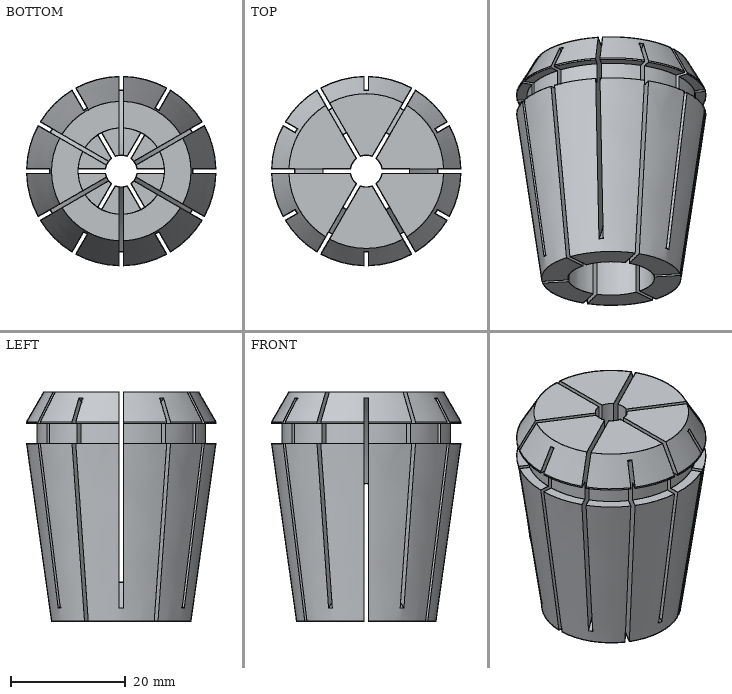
import cadquery as cq
import math

height = 40.0
outer_diameter = 33.0
outer_radius = outer_diameter / 2
taper_angle = 8.0
head_angle = 30.0

groove_bottom = 30.95
groove_top = 34.5
groove_diameter = 29.4
groove_radius = groove_diameter / 2
rim_top = 34.75

bore_radius = 2.75
relief_radius = 7.5
relief_depth = 20.0

slot_width = 0.75
slot_count = 6
cutter_radius = 30.0
top_slot_floor_radius = 0.05
top_slot_end = 2.3
bottom_slot_floor_radius = 1.1
bottom_slot_end = 38.9

taper_slope = math.tan(math.radians(taper_angle))
head_slope = math.tan(math.radians(head_angle))
bottom_radius = outer_radius - groove_bottom * taper_slope
head_radius = outer_radius - (height - rim_top) * head_slope
top_slot_end_radius = bottom_radius + top_slot_end * taper_slope
bottom_slot_end_radius = head_radius + (height - bottom_slot_end) * head_slope


def make_body():
    """Solid of revolution: lower cone, ring groove and head cone."""
    profile = [
        (0, 0),
        (bottom_radius, 0),
        (outer_radius, groove_bottom),
        (groove_radius, groove_bottom),
        (groove_radius, groove_top),
        (outer_radius, groove_top),
        (outer_radius, rim_top),
        (head_radius, height),
        (0, height),
    ]
    return cq.Workplane("XZ").polyline(profile).close().revolve(360, (0, 0), (0, 1))


def make_bore():
    """Small gripping bore at the top, opening into a wide relief below."""
    bore = cq.Workplane("XY").circle(bore_radius).extrude(height)
    relief = cq.Workplane("XY").circle(relief_radius).extrude(relief_depth)
    return bore.union(relief)


def make_slot(floor_radius, end_radius, end_z, open_z):
    """Radial slot along +X, open at open_z, whose floor curves out to (end_radius, end_z)."""
    toward_open = math.copysign(1, open_z - end_z)
    center_x = floor_radius + cutter_radius
    rise = math.sqrt(cutter_radius**2 - (center_x - end_radius) ** 2)
    center_z = end_z + toward_open * rise
    middle_angle = math.acos((center_x - end_radius) / cutter_radius) / 2
    middle = (
        center_x - cutter_radius * math.cos(middle_angle),
        center_z - toward_open * cutter_radius * math.sin(middle_angle),
    )
    return (
        cq.Workplane("XZ")
        .moveTo(floor_radius, open_z)
        .lineTo(floor_radius, center_z)
        .threePointArc(middle, (end_radius, end_z))
        .lineTo(center_x, end_z)
        .lineTo(center_x, open_z)
        .close()
        .extrude(slot_width / 2, both=True)
    )


top_slot = make_slot(top_slot_floor_radius, top_slot_end_radius, top_slot_end, height)
bottom_slot = make_slot(bottom_slot_floor_radius, bottom_slot_end_radius, bottom_slot_end, 0)

pitch = 360 / slot_count
result = make_body().cut(make_bore())
for i in range(slot_count):
    result = result.cut(top_slot.rotate((0, 0, 0), (0, 0, 1), i * pitch))
    result = result.cut(bottom_slot.rotate((0, 0, 0), (0, 0, 1), (i + 0.5) * pitch))